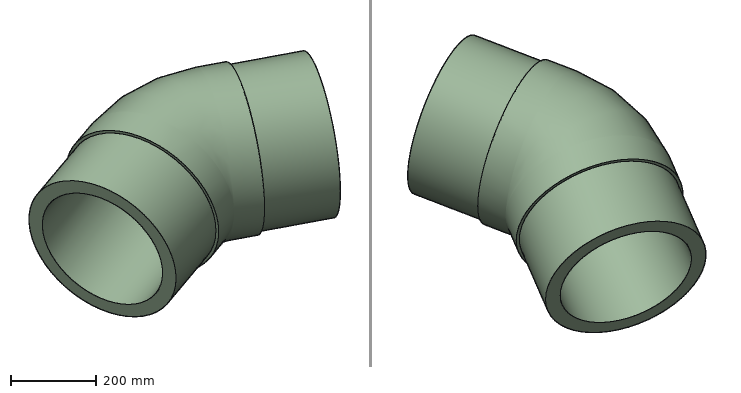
import cadquery as cq
import math

pipe_diameter = 400.0
bore_diameter = 326.5
elbow_diameter = 415.0
bend_angle = 45
bend_radius = 208.0
bore_bend_radius = 164.0
leg_length = 260.0
collar_length = 73.0

turn = math.radians(bend_angle)
bore_offset = (bend_radius - bore_bend_radius) * math.tan(turn / 2)


def end_planes(radius, start_y):
    """Planes at both ends of a bend, each facing out along its leg."""
    entry_plane = cq.Plane(origin=(0, start_y, 0), xDir=(1, 0, 0), normal=(0, -1, 0))
    exit_plane = cq.Plane(
        origin=(radius * (1 - math.cos(turn)), start_y + radius * math.sin(turn), 0),
        xDir=(math.cos(turn), -math.sin(turn), 0),
        normal=(math.sin(turn), math.cos(turn), 0),
    )
    return entry_plane, exit_plane


def leg(plane, diameter, length):
    """Round straight length leaving one end of a bend."""
    return cq.Workplane(plane).circle(diameter / 2).extrude(length)


def bend(plane, diameter, radius):
    """Round section turned about the bend centre."""
    return (
        cq.Workplane(plane)
        .circle(diameter / 2)
        .revolve(bend_angle, (radius, 7, 0), (radius, -7, 0))
    )


outer_planes = end_planes(bend_radius, 0)
body = bend(outer_planes[0], elbow_diameter, bend_radius)
for plane in outer_planes:
    body = body.union(leg(plane, elbow_diameter, collar_length))
    body = body.union(leg(plane, pipe_diameter, leg_length))

bore_planes = end_planes(bore_bend_radius, bore_offset)
bore = bend(bore_planes[0], bore_diameter, bore_bend_radius)
for plane in bore_planes:
    bore = bore.union(leg(plane, bore_diameter, leg_length + bore_offset))

result = body.cut(bore)